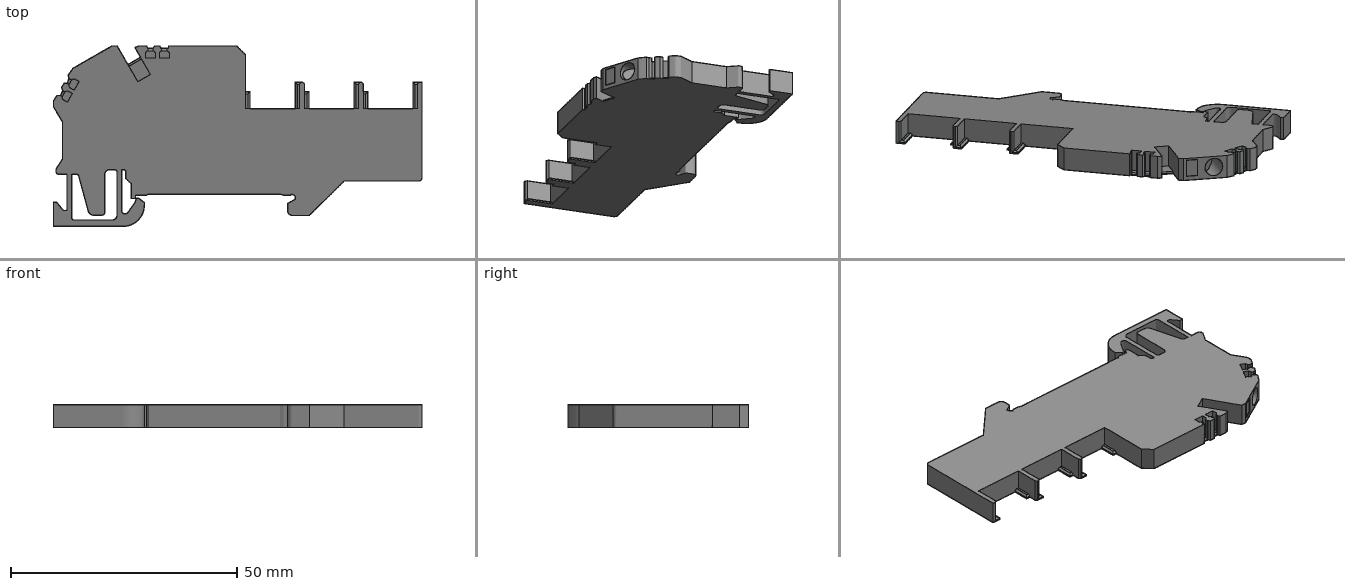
import cadquery as cq
import math

LENGTH = 81.5
HEIGHT = 39.9
THICKNESS = 5.1

RAIL_SEAT = 7.1
RAIL_PAD = 6.85
TAIL_BOTTOM = 10.0
TAIL_TOP = 26.0
HEAD_END = 42.5
HEAD_CHAMFER = 2.0
CLAW_BOTTOM = 2.4
CLAW_BACK = 56.55
TAIL_START = 64.25

FACE_ANGLE = 30.0
ALONG_FACE = FACE_ANGLE
INTO_FACE = FACE_ANGLE - 90.0
SLOT_CORNER = (14.1, HEIGHT)
SLOT_WIDTH = 3.2
SLOT_OPEN_DEPTH = 4.75
SLOT_DEPTH = 9.15
SLOT_NOSE_DEPTH = 2.3

POCKET_FLOOR = 0.45
RAMP_LIP = 0.25
SLOT_RAMP_LENGTH = 0.45

NECK_WIDTH = 1.15
NECK_LENGTH = 0.6
KEY_WIDTH = 2.2
KEY_LENGTH = 1.6
KEY_CHAMFER = 0.4
LIP_DEPTH = 0.5
TOP_KEY_MOUTHS = [(21.46, HEIGHT - LIP_DEPTH), (24.53, HEIGHT - LIP_DEPTH)]
SIDE_KEY_MOUTHS = [(1.75, 29.5), (3.25, 32.15)]
SIDE_KEY_TURN = 60.0

FACE_START = (4.35, 34.95)
ENTRY_RADIUS = 2.0
ENTRY_HEIGHT = 2.65
ENTRY_ALONG = 3.0
ENTRY_DEPTH = 0.8
ENTRY_REACH = 12.0
ENTRY_FLOOR_TILT = 5.0
RECESS_START = 6.7
RECESS_LENGTH = 2.5
RECESS_WIDTH = 3.7
RECESS_DEPTH = 0.2
RECESS_HEIGHT = 2.8

COMB_PITCH = 13.0
BLADE_COUNT = 3
BLADE_WIDTH = 1.08
BLADE_TOP = 31.9
BLADE_CHAMFER = 0.4
PAD_WIDTH = 1.0
PAD_HEIGHT = 0.65
PAD_BEVEL_RUN = 0.5
PAD_BEVEL_DROP = 0.35
LOW_PAD_TOP = 29.8

OVERLAP = 0.2
CLEAR = 1.0


def polar(angle, distance=1.0):
    """Plane vector of the given length and direction in degrees."""
    turn = math.radians(angle)
    return (distance * math.cos(turn), distance * math.sin(turn))


def add(*vectors):
    """Sum of plane vectors."""
    return tuple(sum(values) for values in zip(*vectors))


def rounded_wire(corners):
    """Closed outline through (x, y) corners; a third value rounds that corner to a radius."""
    stops = []
    for index, corner in enumerate(corners):
        here = cq.Vector(corner[0], corner[1])
        if len(corner) == 2:
            stops.append((here, None, here))
            continue
        following = corners[(index + 1) % len(corners)]
        to_last = (cq.Vector(*corners[index - 1][:2]) - here).normalized()
        to_next = (cq.Vector(*following[:2]) - here).normalized()
        half_angle = to_last.getAngle(to_next) / 2
        setback = corner[2] / math.tan(half_angle)
        bisector = (to_last + to_next).normalized()
        middle = here + bisector * (corner[2] / math.sin(half_angle) - corner[2])
        stops.append((here + to_last * setback, middle, here + to_next * setback))

    path = cq.Workplane("XY").moveTo(*stops[0][2].toTuple()[:2])
    for start, middle, end in stops[1:] + stops[:1]:
        path = path.lineTo(*start.toTuple()[:2])
        if middle is not None:
            path = path.threePointArc(middle.toTuple()[:2], end.toTuple()[:2])
    return path.close()


def make_body():
    """Full-thickness housing with foot, rail claw, head and tail."""
    slot_left_end = add(SLOT_CORNER, polar(INTO_FACE, SLOT_OPEN_DEPTH))
    slot_right_end = add(slot_left_end, polar(ALONG_FACE, SLOT_WIDTH))
    slot_nose = add(SLOT_CORNER, polar(ALONG_FACE, SLOT_WIDTH), polar(INTO_FACE, SLOT_NOSE_DEPTH))
    top_lip = HEIGHT - LIP_DEPTH

    foot_toe = [
        (0, 0), (19.75, 0, 4.7), (20.2, 5.25), (18.85, 6.25), (18.35, 6.25), (18.0, 5.25),
        (16.3, 2.85, 0.6), (15.15, 2.85, 0.5), (15.15, 12.5), (16.0, 12.5, 0.4), (16.0, 10.6),
        (17.2, 9.45), (17.2, 6.12), (18.2, 6.12), (18.2, RAIL_PAD), (20.6, RAIL_PAD), (20.9, RAIL_SEAT),
    ]
    rail_claw = [
        (50.1, RAIL_SEAT), (50.95, RAIL_PAD), (52.4, RAIL_PAD), (52.7, RAIL_SEAT), (53.45, 6.7, 0.2),
        (53.45, 6.0, 0.2), (51.75, 5.1, 0.4), (51.75, CLAW_BOTTOM, 1.1), (CLAW_BACK, CLAW_BOTTOM),
        (TAIL_START, TAIL_BOTTOM),
    ]
    tail_and_head = [
        (LENGTH, TAIL_BOTTOM, 0.8), (LENGTH, TAIL_TOP), (HEAD_END, TAIL_TOP),
        (HEAD_END, HEIGHT - HEAD_CHAMFER), (HEAD_END - HEAD_CHAMFER, HEIGHT),
    ]
    top_lobes = [
        (25.4, HEIGHT), (25.4, top_lip), (23.8, top_lip), (23.5, HEIGHT), (22.4, HEIGHT),
        (22.03, top_lip), (20.9, top_lip), (20.6, HEIGHT), (18.9, HEIGHT), slot_nose,
    ]
    slot_and_face = [slot_right_end, slot_left_end, SLOT_CORNER, (12.95, HEIGHT), FACE_START]
    side_lobes = [
        (3.25, 33.4), (3.4, 32.75), (3.1, 31.65), (2.4, 31.65), (1.8, 30.75), (2.05, 30.0),
        (1.6, 28.95), (0.8, 28.95), (0, 27.7, 0.8), (0, 26.45, 0.4),
    ]
    back_edge = [
        (2.0, 23.1), (2.0, 14.9), (0.55, 12.6, 0.2), (0.55, 11.5, 0.7), (3.0, 11.5), (3.0, 3.55, 0.2),
        (2.2, 3.55, 0.3), (0.75, 5.35), (0, 5.35),
    ]
    outline = foot_toe + rail_claw + tail_and_head + top_lobes + slot_and_face + side_lobes + back_edge
    return rounded_wire(outline).extrude(THICKNESS)


def make_spring_window():
    """Window between the foot's two spring legs, with a tongue hanging into it."""
    window = [
        (4.1, 1.45, 0.4), (14.05, 1.45, 1.0), (14.05, 12.5, 0.5), (11.4, 12.5, 1.0), (11.4, 2.45, 0.7),
        (7.95, 2.45, 1.3), (5.5, 11.5, 0.5), (4.1, 11.5),
    ]
    return rounded_wire(window).extrude(THICKNESS)


def make_ramped_pocket(width, ramp_length, end):
    """Cutter with its mouth on the X axis, running towards -Y down to `end`."""
    side = [
        (0, RAMP_LIP), (-ramp_length, POCKET_FLOOR), (-end, POCKET_FLOOR),
        (-end, THICKNESS + CLEAR), (0, THICKNESS + CLEAR),
    ]
    return cq.Workplane("YZ").polyline(side).close().extrude(width / 2, both=True)


def place(cutter, position, turn):
    """Turn a cutter about Z, then move its mouth to the position."""
    return cutter.rotate((0, 0, 0), (0, 0, 1), turn).translate((position[0], position[1], 0))


def make_keyhole():
    """Marker pocket: narrow ramped neck opening into a wider chamber."""
    half = KEY_WIDTH / 2
    deep = -NECK_LENGTH - KEY_LENGTH
    chamber = [
        (-half, deep), (half, deep), (half, -NECK_LENGTH - KEY_CHAMFER), (half - KEY_CHAMFER, -NECK_LENGTH),
        (KEY_CHAMFER - half, -NECK_LENGTH), (-half, -NECK_LENGTH - KEY_CHAMFER),
    ]
    body = cq.Workplane("XY").workplane(offset=POCKET_FLOOR).polyline(chamber).close().extrude(THICKNESS)
    return body.union(make_ramped_pocket(NECK_WIDTH, NECK_LENGTH, NECK_LENGTH + OVERLAP))


def make_lever_pocket():
    """Blind inner end of the lever slot."""
    mouth = add(SLOT_CORNER, polar(INTO_FACE, SLOT_OPEN_DEPTH), polar(ALONG_FACE, SLOT_WIDTH / 2))
    pocket = make_ramped_pocket(SLOT_WIDTH, SLOT_RAMP_LENGTH, SLOT_DEPTH - SLOT_OPEN_DEPTH)
    return place(pocket, mouth, FACE_ANGLE)


def face_plane(along, height):
    """Plane on the slanted face: local X up the slope, local Y towards -Z, normal outwards."""
    spot = add(FACE_START, polar(ALONG_FACE, along))
    outward = polar(INTO_FACE + 180.0)
    return cq.Plane(
        origin=(spot[0], spot[1], height), xDir=polar(ALONG_FACE) + (0,), normal=outward + (0,),
    )


def make_wire_entry():
    """Round wire entry whose flat floor slants steeply away from the shallow side."""
    plane = face_plane(ENTRY_ALONG, ENTRY_HEIGHT)
    bore = cq.Workplane(plane).circle(ENTRY_RADIUS).extrude(ENTRY_REACH, both=True)
    shallow = add(
        FACE_START, polar(ALONG_FACE, ENTRY_ALONG + ENTRY_RADIUS), polar(INTO_FACE, ENTRY_DEPTH),
    )
    beyond_floor = (
        cq.Workplane("XY").rect(ENTRY_REACH, 2 * ENTRY_REACH).extrude(THICKNESS)
        .translate((ENTRY_REACH / 2, 0, 0))
        .rotate((0, 0, 0), (0, 0, 1), ENTRY_FLOOR_TILT)
        .translate((shallow[0], shallow[1], 0))
    )
    return bore.cut(beyond_floor)


def make_face_recess():
    """Shallow rectangular recess near the upper end of the slanted face."""
    centre = RECESS_START + RECESS_LENGTH / 2
    plane = face_plane(centre, RECESS_HEIGHT)
    return cq.Workplane(plane).rect(RECESS_LENGTH, RECESS_WIDTH).extrude(-RECESS_DEPTH)


def make_blade(right_edge, is_last):
    """Thin upright blade, full thickness; the last one keeps its outer corner square."""
    left_edge = right_edge - BLADE_WIDTH
    outline = [
        (left_edge, TAIL_TOP - OVERLAP), (left_edge, BLADE_TOP - BLADE_CHAMFER),
        (left_edge + BLADE_CHAMFER, BLADE_TOP),
    ]
    if is_last:
        outline.append((right_edge, BLADE_TOP))
    else:
        outline.append((right_edge - BLADE_CHAMFER, BLADE_TOP))
        outline.append((right_edge, BLADE_TOP - BLADE_CHAMFER))
    outline.append((right_edge, TAIL_TOP - OVERLAP))
    return cq.Workplane("XY").polyline(outline).close().extrude(THICKNESS)


def make_pad(root, side, top):
    """Low pad beside a blade, bevelled on its outer long edge and its upper end.

    root is the X of the wall it grows from, side is +1 or -1 for the direction it grows.
    """
    shoulder = PAD_HEIGHT - PAD_BEVEL_DROP
    inner = root - side * OVERLAP
    outer = root + side * PAD_WIDTH
    across = [
        (inner, 0), (outer, 0), (outer, shoulder), (outer - side * PAD_BEVEL_RUN, PAD_HEIGHT),
        (inner, PAD_HEIGHT),
    ]
    low = TAIL_TOP - OVERLAP
    lengthwise = [
        (low, 0), (top, 0), (top, shoulder), (top - PAD_BEVEL_RUN, PAD_HEIGHT), (low, PAD_HEIGHT),
    ]
    bar = cq.Workplane("XZ").polyline(across).close().extrude(-HEIGHT)
    return bar.intersect(cq.Workplane("YZ").polyline(lengthwise).close().extrude(LENGTH))


def make_comb():
    """Blades and pads along the top of the tail."""
    pieces = []
    for step in range(BLADE_COUNT):
        right_edge = LENGTH - step * COMB_PITCH
        pieces.append(make_blade(right_edge, step == 0))
        pieces.append(make_pad(right_edge - BLADE_WIDTH, -1, BLADE_TOP))
        pieces.append(make_pad(right_edge - COMB_PITCH, 1, LOW_PAD_TOP))
    return pieces


result = make_body().cut(make_spring_window())
for piece in make_comb():
    result = result.union(piece)

for mouth in TOP_KEY_MOUTHS:
    result = result.cut(place(make_keyhole(), mouth, 0))
for mouth in SIDE_KEY_MOUTHS:
    result = result.cut(place(make_keyhole(), mouth, SIDE_KEY_TURN))

result = result.cut(make_lever_pocket())
result = result.cut(make_wire_entry())
result = result.cut(make_face_recess())